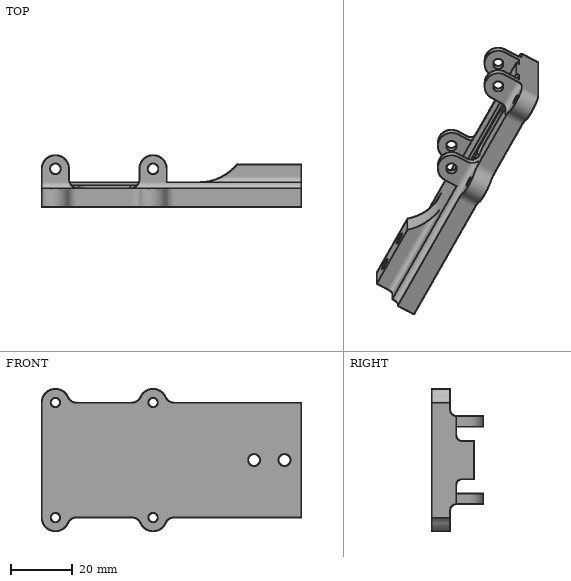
import cadquery as cq
import math

length = 85.0
plate_thickness = 6.1
total_height = 46.7
lug_radius = 4.5
lug_x = (lug_radius, 36.5)
half_height = total_height / 2 - lug_radius
blend_radius = 3.0
screw_hole = 3.0

pad_top = 8.2
pad_half_height = 14.45
pad_fillet = pad_top - plate_thickness

ear_tip = 17.0
ear_thickness = 3.6
ear_inner_z = pad_half_height - ear_thickness
ear_hole = 3.4
ear_axis_y = ear_tip - lug_radius

rail_half_height = 6.3
rail_top = 13.9
rail_ramp_end = 63.9
rail_ramp_radius = 16.15
rail_fillet = 1.8
rail_holes_x = (69.5, 79.5)
rail_hole = 3.8

groove_floor = 7.1
gap_start = lug_x[0] + lug_radius
gap_end = lug_x[1] - lug_radius


def box(x_range, y_range, z_range):
    """Box spanning the given ranges."""
    size = [high - low for low, high in (x_range, y_range, z_range)]
    corner = (x_range[0], y_range[0], z_range[0])
    return cq.Workplane("XY").box(*size, centered=False).translate(corner)


def cylinder_along_y(x, z, diameter, depth=ear_tip):
    """Cylinder from y = 0, by default through the whole depth."""
    return cq.Workplane("XZ").center(x, z).circle(diameter / 2).extrude(-depth)


def lug(x):
    """Round screw lug at the upper edge, blended into the straight edge."""
    reach = math.sqrt((lug_radius + blend_radius) ** 2 - blend_radius**2)
    touch_height = half_height + blend_radius * lug_radius / (lug_radius + blend_radius)
    touch_offset = reach * lug_radius / (lug_radius + blend_radius)
    shape = cylinder_along_y(x, half_height, 2 * lug_radius, plate_thickness)
    sides = (-1, 1) if x > reach else (1,)
    for side in sides:
        web = (
            cq.Workplane("XZ")
            .moveTo(x, half_height)
            .lineTo(x + side * reach, half_height)
            .lineTo(x + side * touch_offset, touch_height)
            .close()
            .extrude(-plate_thickness)
        )
        blend = cylinder_along_y(x + side * reach, half_height + blend_radius, 2 * blend_radius)
        shape = shape.union(web.cut(blend))
    return shape


def flared_strip(half_width, base_y, top_y, fillet):
    """Full-length strip with concave fillets spreading onto its base."""
    foot = half_width + fillet
    shoulder = base_y + fillet
    strip = box((0, length), (base_y, shoulder), (-foot, foot))
    for z in (-foot, foot):
        strip = strip.cut(cq.Workplane("YZ").center(shoulder, z).circle(fillet).extrude(length))
    return strip.union(box((0, length), (base_y, top_y), (-half_width, half_width)))


def rail():
    """Middle rail whose end sweeps up from the pad in a tangent arc."""
    rise = rail_top - pad_top
    run = math.sqrt(2 * rail_ramp_radius * rise - rise**2)
    ramp_start = rail_ramp_end - run
    middle_rise = rail_ramp_radius - math.sqrt(rail_ramp_radius**2 - (run / 2) ** 2)
    side = (
        cq.Workplane("XY")
        .moveTo(ramp_start, pad_top)
        .threePointArc((ramp_start + run / 2, pad_top + middle_rise), (rail_ramp_end, rail_top))
        .lineTo(length, rail_top)
        .lineTo(length, pad_top)
        .close()
        .extrude(half_height, both=True)
    )
    return flared_strip(rail_half_height, pad_top, rail_top, rail_fillet).intersect(side)


def ear(x):
    """Upper ear with a round tip and a pivot hole along Z."""
    base = box(
        (x - lug_radius, x + lug_radius), (plate_thickness, ear_axis_y), (ear_inner_z, pad_half_height)
    )
    plane = cq.Workplane("XY", origin=(x, ear_axis_y, ear_inner_z))
    tip = plane.circle(lug_radius).extrude(ear_thickness)
    return base.union(tip).cut(plane.circle(ear_hole / 2).extrude(ear_thickness))


def ear_opening():
    """Space between the upper ears, with a rounded foot at each ear."""
    opening = box((gap_start, gap_end), (plate_thickness, ear_tip), (ear_inner_z, half_height))
    return opening.edges("|Z and <Y").fillet(blend_radius)


def ear_flares():
    """Concave flares that widen the feet of the upper ears towards each other."""
    block = box(
        (gap_start, gap_end),
        (plate_thickness, plate_thickness + blend_radius),
        (ear_inner_z, pad_half_height),
    )
    return block.cut(ear_opening())


def rim_recess():
    """Shallow round-cornered recess reaching inward from the gap between the upper ears."""
    recess = box(
        (gap_start + blend_radius, gap_end - blend_radius),
        (plate_thickness, groove_floor),
        (ear_inner_z - blend_radius, half_height),
    )
    return recess.edges("|Y and <Z").fillet(blend_radius)


def groove():
    """Cutter for the upper groove, open at x = 0 and ending past the second ear."""
    return box(
        (0, lug_x[1] + lug_radius), (groove_floor, pad_top), (rail_half_height, ear_inner_z)
    )


def both_halves(shape):
    """Shape together with its mirror image below z = 0."""
    return shape.union(shape.mirror("XY"))


result = box((0, length), (0, plate_thickness), (-half_height, half_height))
result = result.union(flared_strip(pad_half_height, plate_thickness, pad_top, pad_fillet))
result = result.cut(both_halves(groove()))
result = result.cut(both_halves(ear_opening().union(rim_recess())))
result = result.union(both_halves(ear_flares()))
result = result.union(rail())
for x in lug_x:
    result = result.union(both_halves(lug(x)))
    result = result.union(both_halves(ear(x)))
    for z in (-half_height, half_height):
        result = result.cut(cylinder_along_y(x, z, screw_hole))
for x in rail_holes_x:
    result = result.cut(cylinder_along_y(x, 0, rail_hole))